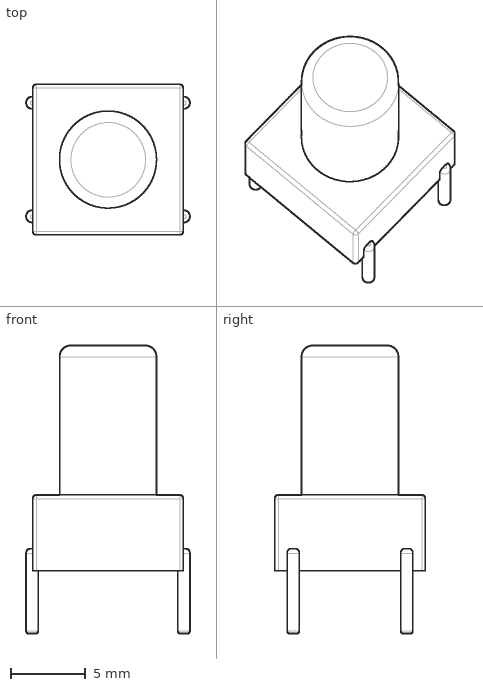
import cadquery as cq

total_height = 19.3
body_side = 10.1
body_bottom = 4.2
body_top = 9.3
body_fillet = 0.25

button_diameter = 6.5
button_fillet = 0.75

pin_diameter = 0.83
pin_top = 5.7
pin_top_fillet = 0.29
pin_tip_fillet = 0.2
pin_span_x = 10.98
pin_pitch_x = pin_span_x - pin_diameter
pin_pitch_y = 7.6


def make_body():
    """Square housing rounded everywhere except around its bottom face."""
    height = body_top - body_bottom
    block = cq.Workplane("XY", origin=(0, 0, body_bottom)).box(
        body_side, body_side, height, centered=(True, True, False)
    )
    return block.edges("|Z or >Z").fillet(body_fillet)


def make_button():
    """Round plunger standing on the housing, with a rounded top rim."""
    height = total_height - body_top
    plunger = cq.Workplane("XY", origin=(0, 0, body_top)).circle(button_diameter / 2).extrude(height)
    return plunger.faces(">Z").edges().fillet(button_fillet)


def make_pin(x, y):
    """Round pin, half sunk into a side of the housing, rounded at both ends."""
    pin = cq.Workplane("XY", origin=(x, y, 0)).circle(pin_diameter / 2).extrude(pin_top)
    pin = pin.faces(">Z").edges().fillet(pin_top_fillet)
    return pin.faces("<Z").edges().fillet(pin_tip_fillet)


result = make_body().union(make_button())
for side_x in (-1, 1):
    for side_y in (-1, 1):
        result = result.union(make_pin(side_x * pin_pitch_x / 2, side_y * pin_pitch_y / 2))